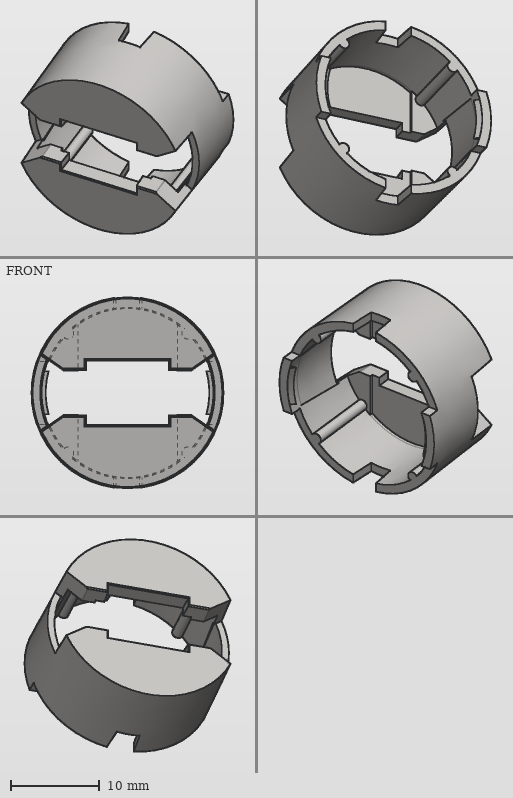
import cadquery as cq
import math

total_depth = 12.5
rim_radius = 10.8
outer_draft = 1.0
crown_depth = 11.03
tab_half_height = 3.56

plate_thickness = 2.33
cavity_floor_radius = 9.5
cavity_draft = 1.0
pocket_half_width = 5.61
pocket_depth = 0.4

window_depth = 3.97
window_draft = 3.0
lug_half_gap = 2.61
lug_end_x = 7.1
flare_angle = 35.0
flare_reach_x = 12.95
slot_half_width = 4.7
slot_half_height = 3.67
slot_chamfer = 0.13
lug_chamfer = 0.15
chamfer_angle = 45.0

relief_radius = 9.82
relief_draft = 1.5
relief_apex_x = 4.99
relief_side_draft = 4.5

hook_tip_radius = 9.18
hook_root_radius = 9.93
hook_setback = 0.55
hook_face_y = total_depth - hook_setback
hook_half_height = 2.45

notch_floor_y = 7.92
notch_mouth_half_width = 1.58
notch_floor_half_width = 1.34

rib_radius = 0.65
rib_angle = 45.0


def slope(degrees):
    return math.tan(math.radians(degrees))


def plane_at(y):
    """Plane across the part axis, facing the open end."""
    return cq.Workplane(cq.Plane(origin=(0, y, 0), xDir=(1, 0, 0), normal=(0, 1, 0)))


def revolve_outline(points):
    """Solid of revolution about Y from (radius, y) points."""
    return cq.Workplane("XY").polyline(points).close().revolve(360, (0, 0), (0, 1))


def frustum(start_y, start_radius, end_y, end_radius):
    return revolve_outline([(0, start_y), (start_radius, start_y), (end_radius, end_y), (0, end_y)])


def tapered_block(start_y, half_width, half_height, depth, draft):
    block = plane_at(start_y).rect(2 * half_width, 2 * half_height)
    return block.extrude(depth, taper=draft)


def make_body():
    """Closed cone frustum, trimmed at the open end to leave the side tabs."""
    closed_radius = rim_radius - total_depth * slope(outer_draft)
    body = frustum(0, closed_radius, total_depth, rim_radius)
    tab_depth = total_depth - crown_depth
    trim = plane_at(crown_depth).rect(2 * rim_radius, 2 * rim_radius).extrude(tab_depth)
    tabs = plane_at(crown_depth).rect(2 * rim_radius, 2 * tab_half_height).extrude(tab_depth)
    return body.cut(trim.cut(tabs))


def make_cavity():
    """Drafted bore, with the shallow pocket in its floor."""
    mouth_radius = cavity_floor_radius + (total_depth - plate_thickness) * slope(cavity_draft)
    bore = frustum(plate_thickness, cavity_floor_radius, total_depth, mouth_radius)
    pocket_floor = plate_thickness - pocket_depth
    pocket = plane_at(pocket_floor).rect(2 * pocket_half_width, 2 * rim_radius).extrude(pocket_depth)
    pocket_limit = plane_at(pocket_floor).circle(cavity_floor_radius).extrude(pocket_depth)
    return bore.union(pocket.intersect(pocket_limit))


def make_ribs():
    rib_x = cavity_floor_radius * math.cos(math.radians(rib_angle))
    rib_z = cavity_floor_radius * math.sin(math.radians(rib_angle))
    centers = [(sx * rib_x, sz * rib_z) for sx in (-1, 1) for sz in (-1, 1)]
    start_y = plate_thickness - pocket_depth
    return plane_at(start_y).pushPoints(centers).circle(rib_radius).extrude(crown_depth - start_y)


def make_window():
    """Flared side opening joined to the taller central slot, with front chamfers."""
    flare_end_z = lug_half_gap + (flare_reach_x - lug_end_x) * slope(flare_angle)
    upper_edge = [
        (-flare_reach_x, flare_end_z),
        (-lug_end_x, lug_half_gap),
        (lug_end_x, lug_half_gap),
        (flare_reach_x, flare_end_z),
    ]
    lower_edge = [(-x, -z) for x, z in upper_edge]
    flared = plane_at(0).polyline(upper_edge + lower_edge).close()
    window = flared.extrude(window_depth, taper=window_draft)
    window = window.union(
        tapered_block(0, slot_half_width, slot_half_height, plate_thickness, window_draft)
    )
    slot_bevel = tapered_block(
        0, slot_half_width + slot_chamfer, slot_half_height + slot_chamfer, slot_chamfer, chamfer_angle
    )
    flare_start_x = lug_end_x + lug_chamfer / slope(flare_angle)
    lug_bevel = tapered_block(
        0, flare_start_x, lug_half_gap + lug_chamfer, lug_chamfer, chamfer_angle
    )
    return window.union(slot_bevel).union(lug_bevel)


def make_relief():
    """Reverse-drafted bore, limited to a 45 degree wedge on each side."""
    depth = crown_depth - window_depth
    bore = frustum(window_depth, relief_radius, crown_depth, relief_radius - depth * slope(relief_draft))
    reach_x = rim_radius + depth * slope(relief_side_draft)
    half_height = reach_x - relief_apex_x
    outline = [(relief_apex_x, 0), (reach_x, half_height), (reach_x, -half_height)]
    wedge = plane_at(window_depth).polyline(outline).close().extrude(depth, taper=relief_side_draft)
    return bore.intersect(wedge.union(wedge.mirror("YZ")))


def make_hooks():
    """Ring with a flat catch face and a 45 degree lead-in, limited to the tab middles."""
    ramp_end_y = hook_face_y + hook_root_radius - hook_tip_radius
    ring = revolve_outline([
        (hook_tip_radius, hook_face_y),
        (hook_root_radius, hook_face_y),
        (hook_root_radius, ramp_end_y),
    ])
    limit = plane_at(hook_face_y).rect(2 * rim_radius, 2 * hook_half_height).extrude(hook_setback)
    return ring.intersect(limit)


def make_notches():
    outline = [
        (-notch_mouth_half_width, crown_depth),
        (-notch_floor_half_width, notch_floor_y),
        (notch_floor_half_width, notch_floor_y),
        (notch_mouth_half_width, crown_depth),
    ]
    return cq.Workplane("XY").polyline(outline).close().extrude(rim_radius, both=True)


result = (
    make_body()
    .cut(make_cavity())
    .cut(make_relief())
    .union(make_ribs())
    .union(make_hooks())
    .cut(make_window())
    .cut(make_notches())
)